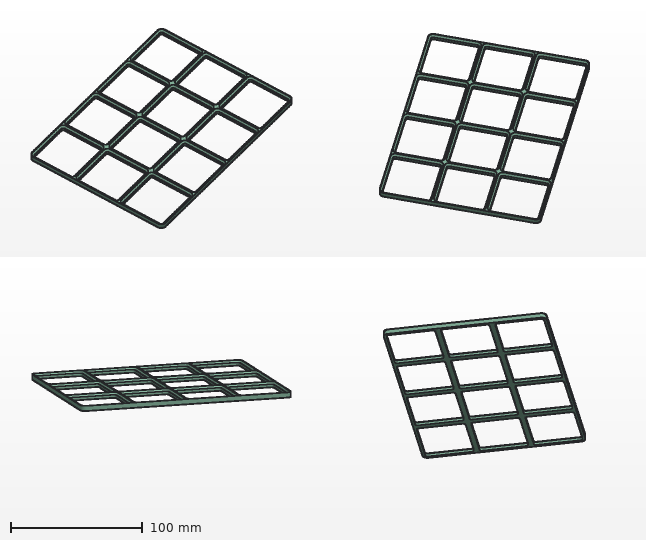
import cadquery as cq

PITCH = 42.0
COLUMNS = 3
ROWS = 4
HEIGHT = 4.15
OUTER_RADIUS = 4.0

RIDGE_WIDTH = 1.0
FLARE = 1.65
FLARE_ANGLE = 45.0
TOP_OPENING = PITCH - RIDGE_WIDTH
TOP_RADIUS = OUTER_RADIUS - RIDGE_WIDTH / 2
LOWER_OPENING = TOP_OPENING - 2 * FLARE
LOWER_RADIUS = TOP_RADIUS - FLARE


def rounded_block(size_x, size_y, radius):
    """Full-height block with rounded vertical edges, standing on Z = 0."""
    block = cq.Workplane("XY").box(size_x, size_y, HEIGHT, centered=(True, True, False))
    return block.edges("|Z").fillet(radius)


def cell_cutter():
    """Through opening of one cell, flared towards the top face."""
    straight = rounded_block(LOWER_OPENING, LOWER_OPENING, LOWER_RADIUS)
    rim = cq.Sketch().rect(TOP_OPENING, TOP_OPENING).vertices().fillet(TOP_RADIUS)
    flared = (
        cq.Workplane("XY")
        .workplane(offset=HEIGHT)
        .placeSketch(rim)
        .extrude(-FLARE, taper=FLARE_ANGLE)
    )
    return straight.union(flared)


def grid_plate():
    """Rounded plate with one flared opening per grid cell."""
    plate = rounded_block(COLUMNS * PITCH, ROWS * PITCH, OUTER_RADIUS)
    cutter = cell_cutter()
    for column in range(COLUMNS):
        for row in range(ROWS):
            x = (column - (COLUMNS - 1) / 2) * PITCH
            y = (row - (ROWS - 1) / 2) * PITCH
            plate = plate.cut(cutter.translate((x, y, 0)))
    return plate


result = grid_plate()